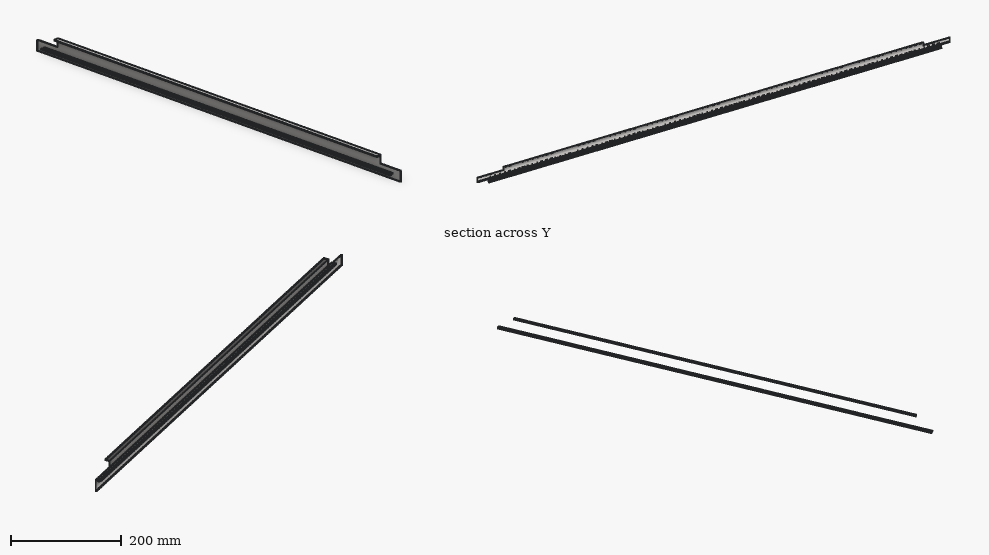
import cadquery as cq
import math

length = 896.0
height = 38.5
wall = 2.0
raised_length = 796.0
tab_height = 21.5
tab_corner_radius = 2.0

top_flange_depth = 10.0

tongue_length = 858.0
tongue_depth = 12.08
tongue_top = 12.3
tongue_bottom = 10.5

tip_height = 11.0
barb_bottom = 8.8
barb_back_depth = 5.5
barb_angle = 30.0
barb_front_depth = tongue_depth - (tip_height - barb_bottom) / math.tan(math.radians(barb_angle))

nose_depth = 10.0

groove_back_depth = 5.0
groove_front_depth = 7.5
groove_floor = tongue_top - 0.4


def block(x_size, depth, z_bottom, z_top):
    """Block centred on X, reaching forward (-Y) from the back face."""
    x_left = -x_size / 2
    return cq.Workplane("XY").box(x_size, depth, z_top - z_bottom, centered=False).translate(
        (x_left, -depth, z_bottom)
    )


def web():
    """Plate with a raised middle and a low, round-cornered tab at each end."""
    low_strip = block(length, wall, 0, tab_height).edges("|Y and >Z").fillet(tab_corner_radius)
    return low_strip.union(block(raised_length, wall, 0, height))


def top_flange():
    return block(raised_length, top_flange_depth, height - wall, height)


def barbed_tongue():
    """Lower flange, drawn as a profile of (depth, height) points and extruded along X."""
    profile = [
        (0, tongue_top),
        (0, tongue_bottom),
        (barb_back_depth, tongue_bottom),
        (barb_back_depth, barb_bottom),
        (barb_front_depth, barb_bottom),
        (tongue_depth, tip_height),
        (nose_depth, tongue_top),
        (groove_front_depth, tongue_top),
        (groove_front_depth, groove_floor),
        (groove_back_depth, groove_floor),
        (groove_back_depth, tongue_top),
    ]
    outline = [(-depth, z) for depth, z in profile]
    return cq.Workplane("YZ").polyline(outline).close().extrude(tongue_length / 2, both=True)


result = web().union(top_flange()).union(barbed_tongue())